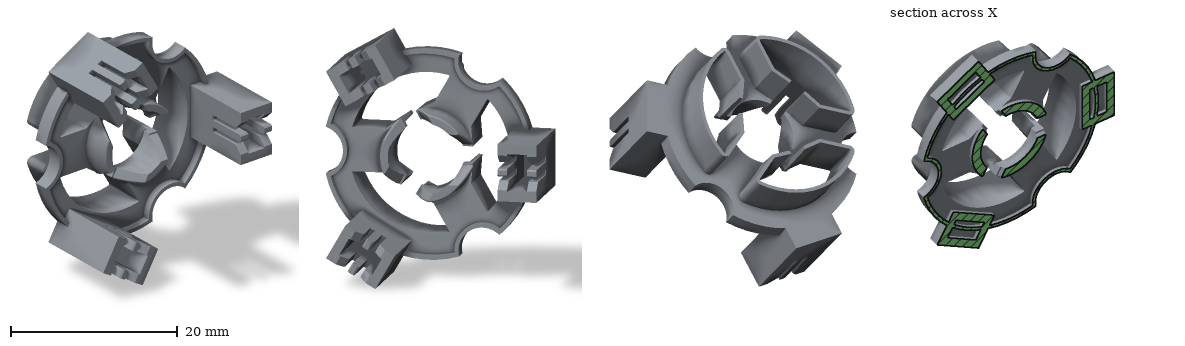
import cadquery as cq
import math

OVERALL_HEIGHT = 29.83
REPEATS = 3
PITCH_ANGLE = 360 / REPEATS
HALF_PITCH = math.radians(PITCH_ANGLE / 2)

PLATE_RADIUS = 12.9
PLATE_THICKNESS = 1.97
FLOOR_THICKNESS = 0.98
RIM_WIDTH = 0.5
BORE_RADIUS = 4.2
NOTCH_RADIUS = 2.98
NOTCH_CENTRE = 13.42

POST_HALF_WIDTH = 3.5
POST_INNER = 10.45
POST_LENGTH = 10.6
POST_WALL = 1.15
POST_OUTER = (OVERALL_HEIGHT / 2 - POST_HALF_WIDTH * math.cos(HALF_PITCH)) / math.sin(HALF_PITCH)
SLIT_START = 5.15
PRONG_HALF_WIDTH = 0.48
SLIT_WIDTH = 0.65
PRONG_CHAMFER = 0.18
LEAD_IN = 0.98

WALL_HEIGHT = 4.8
WALL_RADIUS = 10.55
WALL_BASE = 0.63
WALL_DRAFT = 1.0
WALL_CORNER_RADIUS = 0.78
SPOKE_HALF_WIDTH = 2.03
ARM_KINK_RADIAL = 4.45
ARM_END_RADIAL = 4.65
SLOT_HALF_WIDTH = 1.05
GAP_REACH = 6.55

SNAP_TIP = 4.47
SNAP_LENGTH = SNAP_TIP - FLOOR_THICKNESS
SNAP_BASE_RADIUS = 5.55
SNAP_TIP_RADIUS = 5.37
SNAP_TIP_BORE = 4.39
SNAP_GAP_BASE = 1.28
SNAP_GAP_TIP = 3.1
SNAP_EDGE_RADIUS = 0.18


def cylinder(radius, start, length):
    """Cylinder along +X."""
    return cq.Workplane("YZ", origin=(start, 0, 0)).circle(radius).extrude(length)


def frustum(base_radius, tip_radius, start, length):
    """Cone frustum along +X."""
    return cq.Workplane(cq.Solid.makeCone(
        base_radius, tip_radius, length, cq.Vector(start, 0, 0), cq.Vector(1, 0, 0)
    ))


def around_axis(body, first_angle=0.0):
    """Three copies of a body, evenly turned about the part axis."""
    copies = body.rotate((0, 0, 0), (1, 0, 0), first_angle)
    for index in range(1, REPEATS):
        angle = first_angle + index * PITCH_ANGLE
        copies = copies.add(body.rotate((0, 0, 0), (1, 0, 0), angle))
    return copies.combine()


def pocket_outline(x_direction):
    """Rounded outer outline of the +Y pocket at X = 0, to be extruded along +X (1) or -X (-1)."""
    kink_half_width = ARM_KINK_RADIAL * math.tan(HALF_PITCH) - SPOKE_HALF_WIDTH / math.cos(HALF_PITCH)
    corner_angle = HALF_PITCH - math.asin(SPOKE_HALF_WIDTH / WALL_RADIUS)
    corner_radial = WALL_RADIUS * math.cos(corner_angle)
    corner_half_width = WALL_RADIUS * math.sin(corner_angle)
    plane = cq.Plane(origin=(0, 0, 0), xDir=(0, 1, 0), normal=(x_direction, 0, 0))
    sharp = (
        cq.Workplane(plane)
        .moveTo(ARM_END_RADIAL, -SLOT_HALF_WIDTH)
        .lineTo(ARM_KINK_RADIAL, -kink_half_width)
        .lineTo(corner_radial, -corner_half_width)
        .threePointArc((WALL_RADIUS, 0), (corner_radial, corner_half_width))
        .lineTo(ARM_KINK_RADIAL, kink_half_width)
        .lineTo(ARM_END_RADIAL, SLOT_HALF_WIDTH)
        .close()
    )
    face = cq.Face.makeFromWires(sharp.val())
    corners = [vertex for vertex in face.Vertices() if abs(vertex.Z) > corner_half_width - WALL_BASE]
    rounded = face.fillet2D(WALL_CORNER_RADIUS, corners)
    return cq.Workplane(plane).add(rounded.outerWire()).toPending()


def pocket_opening(x_direction):
    """Inner outline of the +Y pocket, one wall thickness inside the outer one."""
    return pocket_outline(x_direction).offset2D(-WALL_BASE, "intersection")


def slot(start, length):
    """Gap between the two arm ends of a pocket."""
    return cq.Workplane("XY").box(
        length, GAP_REACH, 2 * SLOT_HALF_WIDTH, centered=(False, False, True)
    ).translate((start, 0, 0))


def pocket_wall():
    """Drafted wall of the +Y pocket, thinning towards its free end."""
    wall = pocket_outline(-1).extrude(WALL_HEIGHT, taper=WALL_DRAFT)
    wall = wall.cut(pocket_opening(-1).extrude(WALL_HEIGHT, taper=-WALL_DRAFT))
    return wall.cut(slot(-WALL_HEIGHT, WALL_HEIGHT))


def back_recess():
    """Hollow behind the plate floor that leaves a rim of even width along the plate edge."""
    depth = PLATE_THICKNESS - FLOOR_THICKNESS
    recess = cylinder(PLATE_RADIUS - RIM_WIDTH, FLOOR_THICKNESS, depth)
    notch_rim = cylinder(NOTCH_RADIUS + RIM_WIDTH, FLOOR_THICKNESS, depth).translate((0, NOTCH_CENTRE, 0))
    return recess.cut(around_axis(notch_rim, PITCH_ANGLE / 2))


def plate():
    """Notched disc with its bore, pocket openings and hollow back."""
    body = cylinder(PLATE_RADIUS, 0, PLATE_THICKNESS)
    notch = cylinder(NOTCH_RADIUS, 0, PLATE_THICKNESS).translate((0, NOTCH_CENTRE, 0))
    body = body.cut(around_axis(notch, PITCH_ANGLE / 2))
    body = body.cut(cylinder(BORE_RADIUS, 0, PLATE_THICKNESS))
    opening = pocket_opening(1).extrude(PLATE_THICKNESS).union(slot(0, PLATE_THICKNESS))
    return body.cut(around_axis(opening)).cut(back_recess())


def post():
    """Hollow post on the +Y side, open at its free end and split there by two slits."""
    depth = POST_OUTER - POST_INNER
    slit_outer = PRONG_HALF_WIDTH + SLIT_WIDTH
    body = cq.Workplane("XY").box(
        POST_LENGTH, depth, 2 * POST_HALF_WIDTH, centered=(False, False, True)
    ).translate((0, POST_INNER, 0))
    cavity = cq.Workplane("XY").box(
        POST_LENGTH, depth - 2 * POST_WALL, 2 * (POST_HALF_WIDTH - POST_WALL), centered=(False, False, True)
    ).translate((FLOOR_THICKNESS, POST_INNER + POST_WALL, 0))
    slit = (
        cq.Workplane("XZ", origin=(0, POST_OUTER, 0))
        .moveTo(SLIT_START, PRONG_HALF_WIDTH)
        .lineTo(POST_LENGTH - PRONG_CHAMFER, PRONG_HALF_WIDTH)
        .lineTo(POST_LENGTH, PRONG_HALF_WIDTH - PRONG_CHAMFER)
        .lineTo(POST_LENGTH, slit_outer + LEAD_IN)
        .lineTo(POST_LENGTH - LEAD_IN, slit_outer)
        .lineTo(SLIT_START, slit_outer)
        .close()
        .extrude(depth)
    )
    return body.cut(cavity).cut(slit).cut(slit.mirror("XY"))


def snap_ring():
    """Tapered ring whose three gaps widen towards the tip."""
    ring = frustum(SNAP_BASE_RADIUS, SNAP_TIP_RADIUS, FLOOR_THICKNESS, SNAP_LENGTH)
    ring = ring.cut(frustum(BORE_RADIUS, SNAP_TIP_BORE, FLOOR_THICKNESS, SNAP_LENGTH))
    gap = (
        cq.Workplane("XZ")
        .polyline([
            (FLOOR_THICKNESS, -SNAP_GAP_BASE),
            (SNAP_TIP, -SNAP_GAP_TIP),
            (SNAP_TIP, SNAP_GAP_TIP),
            (FLOOR_THICKNESS, SNAP_GAP_BASE),
        ])
        .close()
        .extrude(-GAP_REACH)
    )
    segments = ring.cut(around_axis(gap))
    segment = cq.Workplane(segments.solids("<Y").val())
    segment = segment.faces("<Y").edges("not <X").fillet(SNAP_EDGE_RADIUS)
    return around_axis(segment)


result = (
    plate()
    .union(around_axis(pocket_wall()))
    .union(around_axis(post()))
    .union(snap_ring())
)